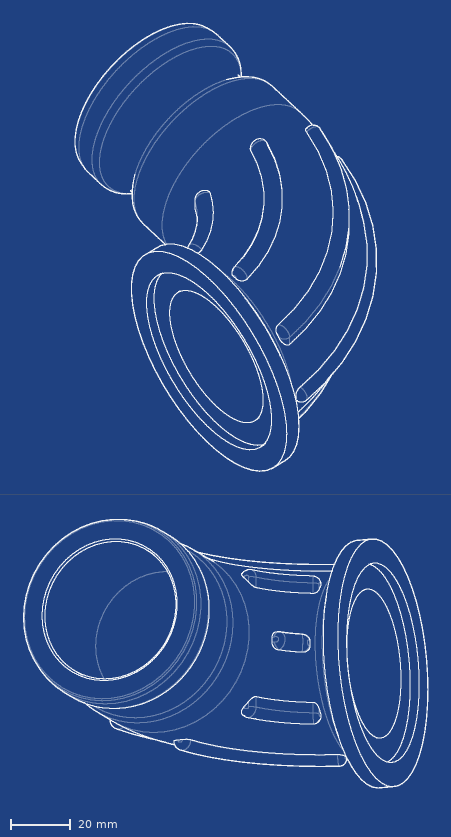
import cadquery as cq
import math

total_length = 146.3
body_radius = 63.0 / 2
flange_radius = 83.1 / 2
inlet_length = 47.5
flange_center_x = total_length - flange_radius
bend_radius = flange_center_x - inlet_length

lip_taper_length = 3.0
lip_taper_drop = 0.6
lip_fillet = 0.6
groove_center_x = 21.4
groove_radius = 11.3
groove_floor_radius = 26.2
groove_edge_fillet = 3.2

flange_thickness = 5.3
flange_back_angle = 24.0
neck_fillet = 2.2

inlet_bore_radius = 47.0 / 2
outlet_bore_radius = 50.0 / 2
mouth_chamfer = 0.7
recess_radius = 66.9 / 2
recess_depth = 3.2

rib_count = 8
rib_cap_radius = 3.0
rib_root_depth = 4.4
rib_end_offset = 12.6
rib_end_fillet = 2.3

inlet_end = cq.Plane(origin=(inlet_length, 0, 0), xDir=(0, 1, 0), normal=(1, 0, 0))
flange_face = cq.Plane(origin=(flange_center_x, 0, 0), xDir=(1, 0, 0), normal=(0, -1, 0))


def revolve_bend(profile):
    """Revolve a profile drawn on the inlet end plane through the 90 degree bend."""
    return profile.revolve(90, (0, 0, 0), (0, -1, 0))


def make_inlet():
    """Tube with a tapered lip and a round cam groove."""
    tube = (
        cq.Workplane("XY")
        .lineTo(0, body_radius - lip_taper_drop)
        .lineTo(lip_taper_length, body_radius)
        .lineTo(inlet_length, body_radius)
        .lineTo(inlet_length, 0)
        .close()
        .revolve(360, (0, 0, 0), (1, 0, 0))
        .faces("<X").edges().fillet(lip_fillet)
    )
    groove_ring_radius = groove_floor_radius + groove_radius
    groove_ring = (
        cq.Workplane("XY")
        .moveTo(groove_center_x, groove_ring_radius)
        .circle(groove_radius)
        .revolve(360, (0, 0, 0), (1, 0, 0))
    )
    groove_edges = cq.selectors.BoxSelector(
        (groove_center_x - groove_radius, -body_radius, -body_radius),
        (groove_center_x + groove_radius, body_radius, body_radius),
    )
    inlet = tube.cut(groove_ring).edges("%CIRCLE").edges(groove_edges).fillet(groove_edge_fillet)
    return inlet.translate((0, bend_radius, 0))


def make_bend():
    return revolve_bend(cq.Workplane(inlet_end).moveTo(bend_radius, 0).circle(body_radius))


def make_flange():
    """Disc with a conical back; the cone's tip is buried in the bend."""
    cone_height = flange_radius * math.tan(math.radians(flange_back_angle))
    flange = (
        cq.Workplane("XY")
        .lineTo(flange_radius, 0)
        .lineTo(flange_radius, flange_thickness)
        .lineTo(0, flange_thickness + cone_height)
        .close()
        .revolve(360, (0, 0, 0), (0, 1, 0))
    )
    return flange.translate((flange_center_x, 0, 0))


def make_rib(angle):
    """Round-topped rib along the bend, at the given angle around the tube's section.

    The two ribs on the bend's mid-plane rise along the bend radius, all others along Z.
    """
    cap_x = bend_radius + body_radius * math.cos(angle)
    cap_z = body_radius * math.sin(angle)
    if math.isclose(cap_z, 0, abs_tol=rib_cap_radius):
        rise_x, rise_z = math.copysign(1, math.cos(angle)), 0
    else:
        rise_x, rise_z = 0, math.copysign(1, cap_z)

    def point(height, side):
        return (cap_x + height * rise_x - side * rise_z, cap_z + height * rise_z + side * rise_x)

    profile = (
        cq.Workplane(inlet_end)
        .moveTo(*point(-rib_root_depth, -rib_cap_radius))
        .lineTo(*point(0, -rib_cap_radius))
        .threePointArc(point(rib_cap_radius, 0), point(0, rib_cap_radius))
        .lineTo(*point(-rib_root_depth, rib_cap_radius))
        .close()
    )
    rib_zone = (
        cq.Workplane("XY")
        .box(total_length, total_length, total_length, centered=(False, False, True))
        .translate((inlet_length + rib_end_offset, rib_end_offset, 0))
    )
    rib = revolve_bend(profile).intersect(rib_zone)
    return rib.faces("<X or <Y").edges().fillet(rib_end_fillet)


def make_bore():
    """Straight inlet bore, bend bore that widens to the outlet, and the recess in the flange face."""
    inlet_bore = (
        cq.Workplane("YZ")
        .center(bend_radius, 0)
        .circle(inlet_bore_radius)
        .extrude(inlet_length)
    )
    mouth_cone = (
        cq.Workplane("YZ")
        .center(bend_radius, 0)
        .circle(inlet_bore_radius + mouth_chamfer)
        .workplane(offset=mouth_chamfer)
        .circle(inlet_bore_radius)
        .loft()
    )
    bend_path = (
        cq.Workplane("XY")
        .moveTo(inlet_length, bend_radius)
        .radiusArc((flange_center_x, 0), bend_radius)
    )
    bend_bore = (
        cq.Workplane(inlet_end)
        .moveTo(bend_radius, 0)
        .circle(inlet_bore_radius)
        .copyWorkplane(cq.Workplane(flange_face))
        .circle(outlet_bore_radius)
        .sweep(bend_path, multisection=True)
    )
    recess = cq.Workplane(flange_face).circle(recess_radius).extrude(-recess_depth)
    return inlet_bore.union(mouth_cone).union(bend_bore).union(recess)


body = make_bend().union(make_flange()).edges("%BSPLINE").fillet(neck_fillet)
for index in range(rib_count):
    body = body.union(make_rib(2 * math.pi * index / rib_count))
body = body.union(make_inlet())
result = body.cut(make_bore())